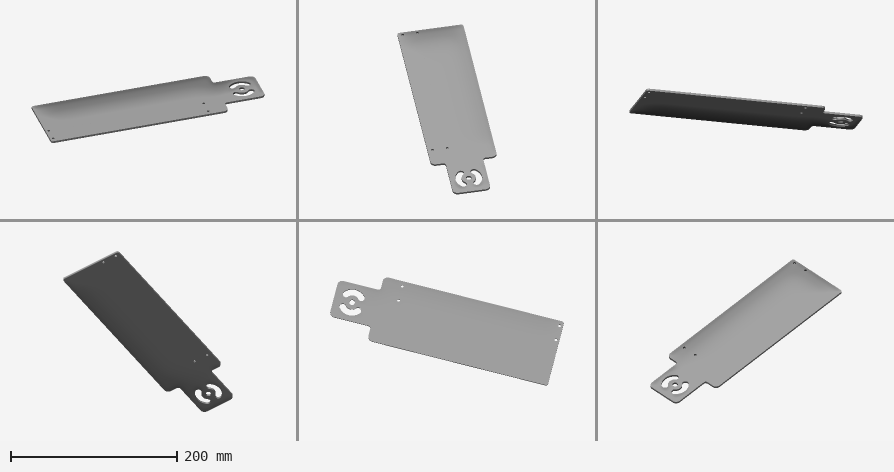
import cadquery as cq
import math

length = 276.0
width = 81.0
thickness = 2.6

tab_width = 45.8
tab_length = 52.0

tab_corner_radius = 6.0
shoulder_corner_radius = 6.0
tab_root_radius = 3.0
foot_corner_radius = 2.8

pivot_from_tab_end = 22.5
pivot_diameter = 6.5
slot_mid_radius = 12.5
slot_width = 7.7
slot_half_angle = 50.0

mount_diameter = 3.3
mount_edge_offset = 6.0
mount_column_spacing = 18.0
mount_foot_offset = 4.1
mount_row_spacing = 195.7

tab_end_y = length / 2
foot_y = -length / 2
shoulder_y = tab_end_y - tab_length
pivot_y = tab_end_y - pivot_from_tab_end
body_length = length - tab_length


def block(block_width, start_y, block_length):
    """Flat block centred on X = 0, starting at start_y and resting on Z = 0."""
    return (
        cq.Workplane("XY")
        .center(0, start_y + block_length / 2)
        .rect(block_width, block_length)
        .extrude(thickness)
    )


def rounded_plate():
    """Rectangular body with the tab joined on and every outline corner rounded."""
    body = block(width, foot_y, body_length)
    body = body.edges("|Z and >Y").fillet(shoulder_corner_radius)
    body = body.edges("|Z and <Y").fillet(foot_corner_radius)
    tab = block(tab_width, shoulder_y, tab_length)
    tab = tab.edges("|Z and >Y").fillet(tab_corner_radius)
    plate = body.union(tab)
    for side in (-1, 1):
        root = cq.selectors.NearestToPointSelector((side * tab_width / 2, shoulder_y, thickness / 2))
        plate = plate.edges("|Z").edges(root).fillet(tab_root_radius)
    return plate


def polar(radius, angle):
    """Point at a radius and an angle in degrees about the pivot."""
    turn = math.radians(angle)
    return (radius * math.cos(turn), pivot_y + radius * math.sin(turn))


def arc_slot(middle_angle):
    """Cutter for a round-ended slot that curves about the pivot."""
    start = middle_angle - slot_half_angle
    end = middle_angle + slot_half_angle
    inner = slot_mid_radius - slot_width / 2
    outer = slot_mid_radius + slot_width / 2
    cap_reach = math.hypot(slot_mid_radius, slot_width / 2)
    cap_angle = math.degrees(math.atan2(slot_width / 2, slot_mid_radius))
    return (
        cq.Workplane("XY")
        .moveTo(*polar(outer, start))
        .threePointArc(polar(outer, middle_angle), polar(outer, end))
        .threePointArc(polar(cap_reach, end + cap_angle), polar(inner, end))
        .threePointArc(polar(inner, middle_angle), polar(inner, start))
        .threePointArc(polar(cap_reach, start - cap_angle), polar(outer, start))
        .close()
        .extrude(thickness)
    )


def round_holes(points, diameter):
    """Cutter for through holes of one diameter."""
    return cq.Workplane("XY").pushPoints(points).circle(diameter / 2).extrude(thickness)


def mount_points():
    """Centres of the two-by-two mounting holes."""
    outer_x = width / 2 - mount_edge_offset
    lower_y = foot_y + mount_foot_offset
    return [
        (outer_x - column * mount_column_spacing, lower_y + row * mount_row_spacing)
        for column in range(2)
        for row in range(2)
    ]


result = rounded_plate()
result = result.cut(round_holes([(0, pivot_y)], pivot_diameter))
result = result.cut(round_holes(mount_points(), mount_diameter))
for slot_direction in (0, 180):
    result = result.cut(arc_slot(slot_direction))